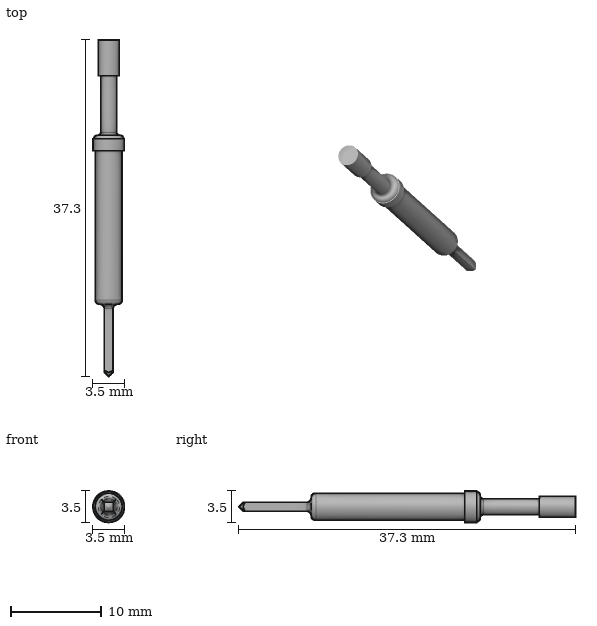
import cadquery as cq


head_diameter = 2.35
head_length = 4.0
shaft_diameter = 1.8
shaft_length = 6.55

collar_diameter = 3.5
collar_length = 1.35
nose_diameter = 3.3
nose_length = 0.4
nose_round = nose_length
shaft_root_fillet = 0.3

barrel_diameter = 3.0
barrel_length = 17.0
barrel_end_round = 0.5

pin_width = 1.0
pin_length = 8.0
pin_root_fillet = 0.45

collar_top_y = collar_length
nose_top_y = collar_top_y + nose_length
barrel_end_y = -barrel_length
pin_tip_y = barrel_end_y - pin_length


def cylinder(diameter, y_start, length):
    """Cylinder on the Y axis running from y_start toward +Y."""
    return cq.Workplane("XZ", origin=(0, y_start, 0)).circle(diameter / 2).extrude(-length)


def make_nose_and_shaft():
    """Rounded collar nose with the plunger shaft blending out of it."""
    nose = cylinder(nose_diameter, 0, nose_top_y).faces(">Y").edges().fillet(nose_round)
    shaft = cylinder(shaft_diameter, 0, nose_top_y + shaft_length)
    root_reach = shaft_diameter / 2 + shaft_root_fillet
    root_box = cq.selectors.BoxSelector(
        (-root_reach, nose_top_y - shaft_root_fillet, -root_reach),
        (root_reach, nose_top_y + shaft_root_fillet, root_reach),
        boundingbox=True,
    )
    return nose.union(shaft).edges(root_box).fillet(shaft_root_fillet)


def make_slab_on_barrel():
    """Rounded barrel with a flat slab as thick as the pin, its two long root edges filleted.

    The root fillets follow the barrel end from its flat middle onto its round edge.
    """
    barrel = cylinder(barrel_diameter, barrel_end_y, barrel_length)
    barrel = barrel.faces("<Y").edges().fillet(barrel_end_round)
    half_pin = pin_width / 2
    slab_width = 2 * pin_width
    slab = cq.Workplane("XY").box(pin_width, pin_length + barrel_length, slab_width)
    slab = slab.translate((0, pin_tip_y + (pin_length + barrel_length) / 2, 0))
    margin = 0.01
    root_box = cq.selectors.BoxSelector(
        (-half_pin - margin, barrel_end_y - margin, margin - slab_width / 2),
        (half_pin + margin, barrel_end_y + barrel_end_round, slab_width / 2 - margin),
    )
    return barrel.union(slab).edges(root_box).fillet(pin_root_fillet)


def make_tip_cone():
    """90 degree cone with its point at the pin tip, wide and long enough to hold the whole terminal."""
    cone_length = pin_length + barrel_length
    return (
        cq.Workplane("XY")
        .moveTo(0, pin_tip_y)
        .lineTo(cone_length, pin_tip_y + cone_length)
        .lineTo(0, pin_tip_y + cone_length)
        .close()
        .revolve(360, (0, 0, 0), (0, 1, 0))
    )


def make_terminal():
    """Barrel with its square pin, mitred from four quarters that each carry one pin flat."""
    wedge_reach = barrel_diameter
    quarter = (
        cq.Workplane("XZ", origin=(0, pin_tip_y, 0))
        .polyline([(0, 0), (wedge_reach, wedge_reach), (wedge_reach, -wedge_reach)])
        .close()
        .extrude(-(pin_length + barrel_length))
        .intersect(make_slab_on_barrel())
    )
    terminal = quarter
    for angle in (90, 180, 270):
        terminal = terminal.union(quarter.rotate((0, 0, 0), (0, 1, 0), angle))
    return terminal.intersect(make_tip_cone())


collar = cylinder(collar_diameter, 0, collar_length)
head = cylinder(head_diameter, nose_top_y + shaft_length, head_length)

result = make_terminal().union(collar).union(make_nose_and_shaft()).union(head)